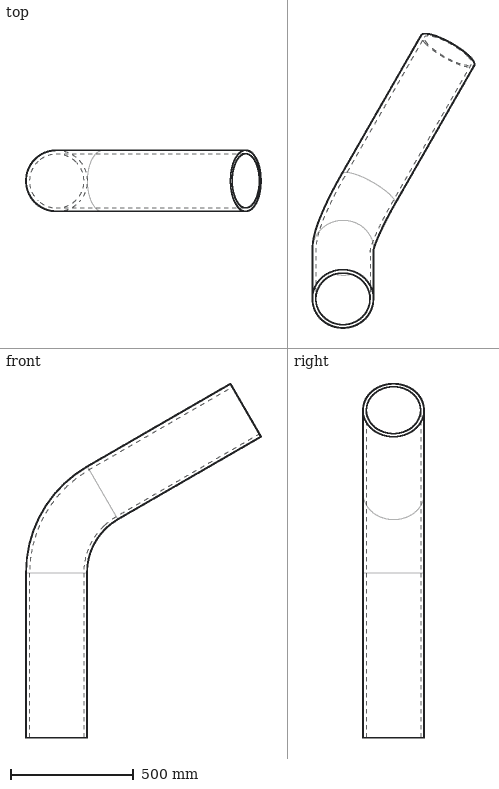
import cadquery as cq
import math

overall_height = 1445.0
outer_diameter = 250.0
inner_diameter = 221.0
bend_angle = 60.0
bend_radius = 1.5 * outer_diameter

sin_bend = math.sin(math.radians(bend_angle))
cos_bend = math.cos(math.radians(bend_angle))
end_face_rise = outer_diameter / 2 * sin_bend
leg_length = (overall_height - bend_radius * sin_bend - end_face_rise) / (1 + cos_bend)


def point_on_bend(angle):
    """Centreline point (X, Z) after turning through the given angle in degrees."""
    turn = math.radians(angle)
    return (bend_radius * (1 - math.cos(turn)), leg_length + bend_radius * math.sin(turn))


bend_end = point_on_bend(bend_angle)
upper_end = (bend_end[0] + leg_length * sin_bend, bend_end[1] + leg_length * cos_bend)
centreline = (
    cq.Workplane("XZ")
    .lineTo(0, leg_length)
    .threePointArc(point_on_bend(bend_angle / 2), bend_end)
    .lineTo(*upper_end)
)

result = (
    cq.Workplane("XY")
    .circle(outer_diameter / 2)
    .circle(inner_diameter / 2)
    .sweep(centreline)
)